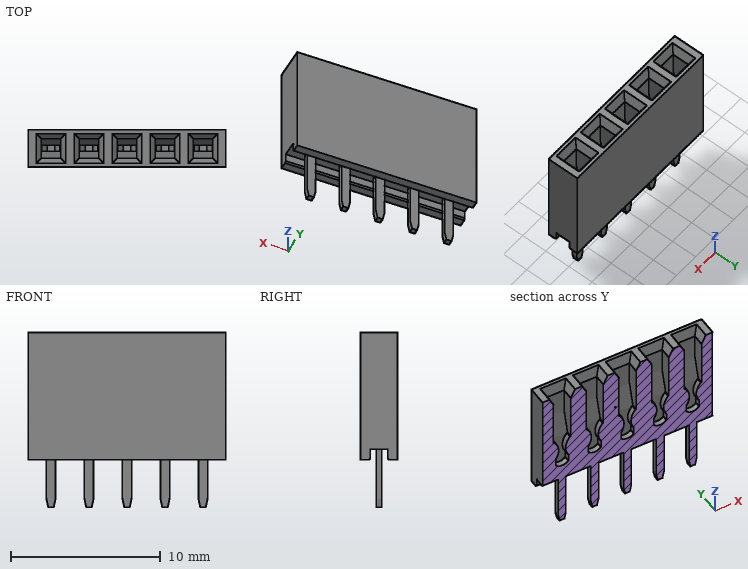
import cadquery as cq
import math

contact_count = 5
pitch = 2.53

housing_length = 13.2
housing_depth = 2.5
housing_height = 8.5

groove_width = 1.14
groove_height = 0.71
groove_chamfer = 0.1

entry_size = 1.98
socket_size = 1.31
entry_depth = 0.66
socket_depth = 1.85
floor_angle = 75.0

contact_thickness = 0.4
tail_width = 0.63
tail_length = 3.15
tip_width = 0.38
tip_height = 0.58

land_width = 0.05
mouth_angle = 55.0
nose_radius = 1.27
throat_width = 0.5
fork_depth = 2.38
pocket_width = 0.95
pocket_floor_radius = 0.66

contact_places = [(i - (contact_count - 1) / 2) * pitch for i in range(contact_count)]
socket_top = housing_height - entry_depth
floor_top = socket_top - socket_depth
floor_drop = (socket_size - contact_thickness) / 2 * math.tan(math.radians(floor_angle))
fork_top = floor_top - floor_drop


def make_housing():
    """Plain block with a chamfered groove along its underside."""
    block = cq.Workplane("XY").box(
        housing_length, housing_depth, housing_height, centered=(True, True, False)
    )
    half_groove = groove_width / 2
    groove = (
        cq.Workplane("YZ", origin=(-housing_length / 2, 0, 0))
        .moveTo(-half_groove - groove_chamfer, 0)
        .lineTo(-half_groove, groove_chamfer)
        .lineTo(-half_groove, groove_height)
        .lineTo(half_groove, groove_height)
        .lineTo(half_groove, groove_chamfer)
        .lineTo(half_groove + groove_chamfer, 0)
        .close()
        .extrude(housing_length)
    )
    return block.cut(groove)


def make_entry():
    """Tapered square mouth, straight socket, and a floor that slopes in to the contact slot."""
    mouth = (
        cq.Workplane("XY", origin=(0, 0, socket_top))
        .rect(socket_size, socket_size)
        .workplane(offset=entry_depth)
        .rect(entry_size, entry_size)
        .loft(ruled=True)
    )
    half_socket = socket_size / 2
    half_slot = contact_thickness / 2
    socket = (
        cq.Workplane("YZ", origin=(-half_socket, 0, 0))
        .moveTo(-half_socket, socket_top)
        .lineTo(-half_socket, floor_top)
        .lineTo(-half_slot, fork_top)
        .lineTo(half_slot, fork_top)
        .lineTo(half_socket, floor_top)
        .lineTo(half_socket, socket_top)
        .close()
        .extrude(socket_size)
    )
    return mouth.union(socket)


def make_fork_opening():
    """Gap between the tines: sloped lead-in, rounded noses, wider pocket with a dished floor."""
    half_mouth = socket_size / 2 - land_width
    slope = math.radians(mouth_angle)
    nose_x = throat_width / 2 + nose_radius
    start_x = nose_x - nose_radius * math.sin(slope)
    start_rise = nose_radius * math.cos(slope)
    nose_z = fork_top - (half_mouth - start_x) * math.tan(slope) - start_rise
    end_x = pocket_width / 2
    end_z = nose_z - math.sqrt(nose_radius**2 - (nose_x - end_x) ** 2)
    bottom_z = fork_top - fork_depth
    corner_z = bottom_z + pocket_floor_radius - math.sqrt(pocket_floor_radius**2 - end_x**2)
    return (
        cq.Workplane("XZ", origin=(0, contact_thickness / 2, 0))
        .moveTo(-half_mouth, fork_top)
        .lineTo(-start_x, nose_z + start_rise)
        .threePointArc((-throat_width / 2, nose_z), (-end_x, end_z))
        .lineTo(-end_x, corner_z)
        .threePointArc((0, bottom_z), (end_x, corner_z))
        .lineTo(end_x, end_z)
        .threePointArc((throat_width / 2, nose_z), (start_x, nose_z + start_rise))
        .lineTo(half_mouth, fork_top)
        .close()
        .extrude(contact_thickness)
    )


def make_tail():
    """Flat solder tail with its tip tapered across the row."""
    half_tail = tail_width / 2
    half_tip = tip_width / 2
    return (
        cq.Workplane("XZ", origin=(0, contact_thickness / 2, 0))
        .moveTo(-half_tail, groove_height)
        .lineTo(-half_tail, tip_height - tail_length)
        .lineTo(-half_tip, -tail_length)
        .lineTo(half_tip, -tail_length)
        .lineTo(half_tail, tip_height - tail_length)
        .lineTo(half_tail, groove_height)
        .close()
        .extrude(contact_thickness)
    )


result = make_housing()
opening = make_entry().union(make_fork_opening())
tail = make_tail()
for x in contact_places:
    result = result.cut(opening.translate((x, 0, 0)))
    result = result.union(tail.translate((x, 0, 0)))